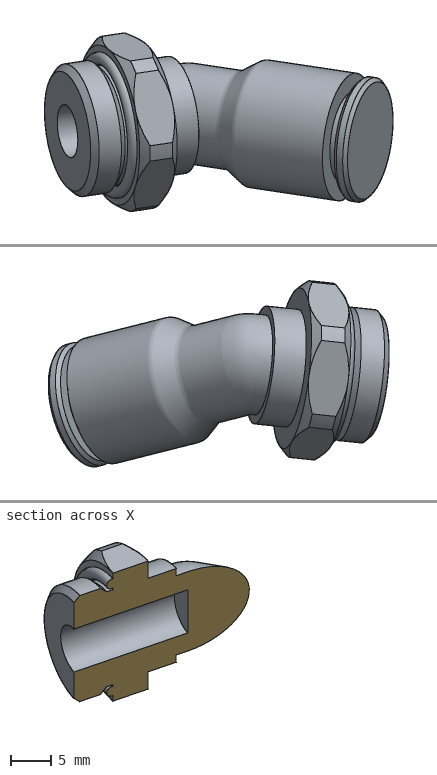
import cadquery as cq
import math

stub_radius = 8.3
stub_chamfer = 0.8
stub_shoulder = 3.8
seal_start = 4.65
seal_radius = 9.15
seal_section_radius = 0.77
bore_radius = 3.3

nut_start = 5.5
nut_end = 10.55
nut_flats = 20.0
nut_corner_radius = 11.0

collar_radius = 7.35
collar_end = 14.55
neck_radius = 6.2
bend_height = 16.15
bend_angle = 45

cone_start = 6.5
cone_end = 9.25
cone_blend = 0.95
socket_radius = 8.0
socket_end = 21.25
stem_radius = 5.6
ring_start = 22.58
ring_end = 24.35
ring_radius = 7.8
ring_chamfer = 0.45


def disc(start, end, radius):
    """Cylinder on the Y axis between two heights."""
    return cq.Workplane("XZ", origin=(0, start, 0)).circle(radius).extrude(start - end)


def turned(points):
    """Solid of revolution about Y from (radius, height) points."""
    return cq.Workplane("XY").polyline(points).close().revolve(360, (0, 0, 0), (0, 1, 0))


def make_stub():
    taper_radius = stub_radius - (seal_start - stub_shoulder)
    body = turned([
        (0, 0),
        (stub_radius - stub_chamfer, 0),
        (stub_radius, stub_chamfer),
        (stub_radius, stub_shoulder),
        (taper_radius, seal_start),
        (0, seal_start),
    ])
    seal_center_radius = seal_radius - seal_section_radius
    seal = (
        cq.Workplane("XY")
        .center(seal_center_radius, seal_start + seal_section_radius)
        .circle(seal_section_radius)
        .revolve(360, (-seal_center_radius, 0, 0), (-seal_center_radius, 1, 0))
    )
    core = disc(seal_start, nut_start, taper_radius)
    return body.union(core).union(seal)


def make_nut():
    corner_diameter = nut_flats / math.cos(math.pi / 6)
    prism = (
        cq.Workplane("XZ", origin=(0, nut_start, 0))
        .polygon(6, corner_diameter)
        .extrude(nut_start - nut_end)
    )
    corner_chamfer = nut_corner_radius - nut_flats / 2
    envelope = disc(nut_start, nut_end, nut_corner_radius).edges("%CIRCLE").chamfer(corner_chamfer)
    return prism.intersect(envelope)


def make_socket():
    """Socket built upright from the bend center, then tilted toward +X."""
    sleeve = turned([
        (0, 0),
        (neck_radius, 0),
        (neck_radius, cone_start),
        (socket_radius, cone_end),
        (socket_radius, socket_end),
        (0, socket_end),
    ])
    half_gap = 0.2
    cone_rims = cq.selectors.BoxSelector(
        (-socket_radius, cone_start - half_gap, -socket_radius),
        (socket_radius, cone_end + half_gap, socket_radius),
    )
    sleeve = sleeve.edges("%CIRCLE").edges(cone_rims).fillet(cone_blend)
    stem = disc(socket_end, ring_start, stem_radius)
    ring = disc(ring_start, ring_end, ring_radius).edges("%CIRCLE").chamfer(ring_chamfer)
    upright = sleeve.union(stem).union(ring)
    return upright.rotate((0, 0, 0), (0, 0, 1), -bend_angle).translate((0, bend_height, 0))


def make_elbow():
    collar = disc(nut_end, collar_end, collar_radius)
    neck = disc(collar_end, bend_height, neck_radius)
    knuckle = cq.Workplane("XY", origin=(0, bend_height, 0)).sphere(neck_radius)
    return collar.union(neck).union(knuckle).union(make_socket())


bore = disc(0, bend_height, bore_radius)

result = make_stub().union(make_nut()).union(make_elbow()).cut(bore)